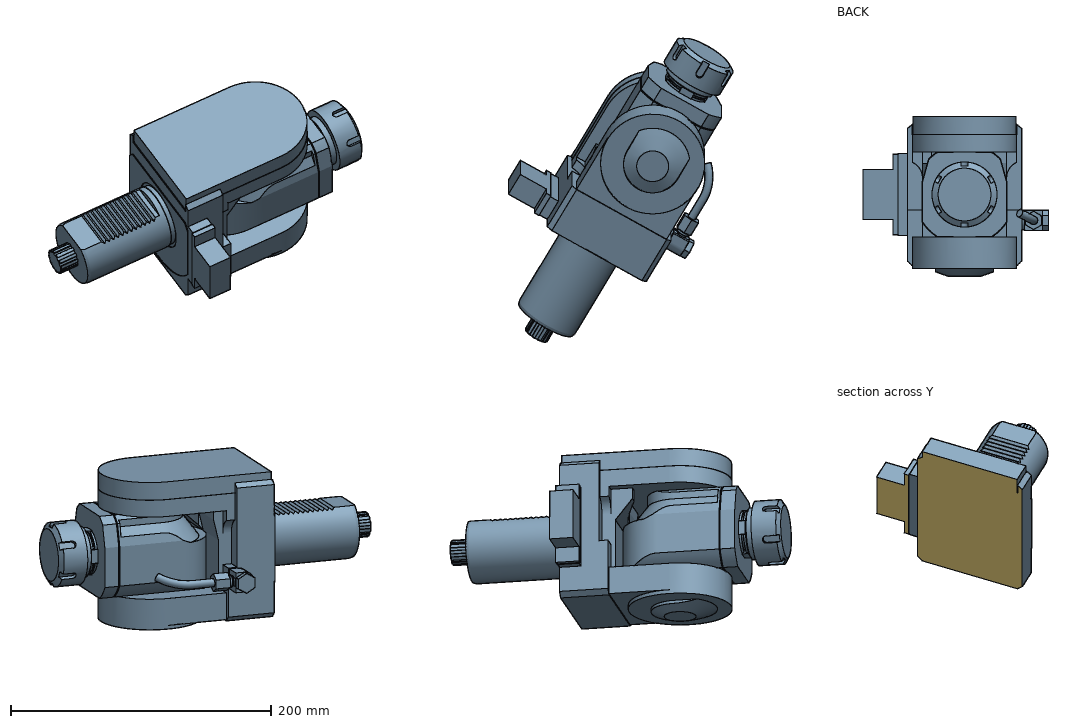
import cadquery as cq
import math


BLOCK_HALF_X = 44.0
BLOCK_TOP = 54.0
BLOCK_TOP_CHAMFER_Z = 3.2
BLOCK_BOTTOM = -55.0
BLOCK_CHAMFER = 4.0
FACE_RELIEF = 0.7
BLOCK_UPPER_BACK = 31.6
BLOCK_LOWER_BACK = 38.7
BLOCK_STEP_Z = -12.0
PAD_RADIUS = 51.0
PAD_TOP = 32.0

PIVOT_Y = 86.3
FORK_RADIUS = 40.0
GAP_HALF_Z = 32.6
COVER_BOTTOM = 46.0
COVER_TOP = 60.0
COVER_FRONT = 1.5
COVER_INSET = 0.3
LOWER_ARM_BOTTOM = -54.0
LOWER_DISC_BOTTOM = -57.0
WEB_HALF_X = 32.4
WEB_BACK = 42.2
WEB_STEP_Y = PIVOT_Y - FORK_RADIUS
WEB_FAR_Y = 55.5
SWING_CONE_TOP = 24.0
SWING_CONE_BOTTOM = 7.6
LUG_ROUND_RADIUS = 12.8
LUG_BOTTOM = 13.0

DOME_BOTTOM = -63.0
DOME_BASE_RADIUS = 28.7
DOME_TIP_RADIUS = 12.3
DOME_BULGE = 0.1
DOME_HALF_X = 22.4

HEAD_HALF_X = 32.5
HEAD_FRONT = 135.9
HEAD_CORNER_RADIUS = 38.8
HEAD_SHOULDER_Z = 27.2
HEAD_SIDE_TOP_Z = 9.9
HEAD_SEAM_Y = 123.6
HEAD_SEAM_WIDTH = 0.8
HEAD_SEAM_DEPTH = 0.3
RELIEF_RADIUS = 25.3
RELIEF_CONE_RADIUS = 37.7
RELIEF_END_Y = 121.7

NUT_RADIUS = 25.0
NUT_FRONT = 169.41
NUT_FACE_RADIUS = 20.3
NUT_CHAMFER_LENGTH = 2.9
NUT_BACK = 147.1
COLLAR_RADIUS = 20.0
COLLAR_BACK = 142.2
NECK_END = 141.0
NECK_RADIUS = 17.5
NECK_GROOVE_RADIUS = 16.2
NECK_GROOVE_WIDTH = 1.5
NECK_KEY_WIDTH = 11.0
NUT_SLOTS = 6
NUT_SLOT_WIDTH = 5.6
NUT_SLOT_END_Y = 155.5
NUT_SLOT_FLOOR_RADIUS = 22.0

SHANK_RADIUS = 25.0
SHANK_END = -77.2
SHANK_END_CHAMFER_LENGTH = 2.5
SHANK_END_CHAMFER = 0.7
SHANK_NECK_RADIUS = 24.35
SHANK_NECK_LENGTH = 3.0
FACE_GROOVE_RADIUS = 27.0
FACE_GROOVE_DEPTH = 1.0
FLAT_Z = 20.0
FLAT_START = -8.0
TEETH = 12
TOOTH_PITCH = 4.0
TOOTH_START = -11.6
TOOTH_DEPTH = 1.5

SPLINE_RADIUS = 9.8
SPLINE_END = -92.5
SPLINE_GROOVES = 12
SPLINE_GROOVE_WIDTH = 2.4
SPLINE_ROOT_RADIUS = 8.6
SPLINE_CHAMFER = 0.6

LOCATOR_PLATE_X = 51.0
LOCATOR_STEP_X = 55.0
LOCATOR_END_X = 78.1
LOCATOR_PLATE_HALF_Z = 31.6
LOCATOR_STEP_HALF_Z = 31.0
LOCATOR_HALF_Z = 19.3
LOCATOR_PLATE_Y = 17.6
LOCATOR_Y = 18.3

ELBOW_END_X = -64.6
ELBOW_BODY_END_X = -60.0
ELBOW_START_X = -46.2
ELBOW_Y = 31.5
ELBOW_Z = -19.9
ELBOW_RADIUS = 7.9
ELBOW_NECK_RADIUS = 14.5 / 2
HEX_SIDES = 6
PIPE_X = -53.1
PIPE_NECK_RADIUS = 9.8 / 2
PIPE_NECK_SMALL_RADIUS = 8.2 / 2
PIPE_NECK_STEP_Y = 40.2
PIPE_NUT_START = 42.6
PIPE_NUT_END = 54.5
PIPE_NUT_FLATS = 12.2
PIPE_RADIUS = 6.37 / 2
PIPE_BEND_START = 71.0
PIPE_BEND_RADIUS = 33.1
PIPE_BEND_ANGLE = 50.6
PIPE_BEND_TILT = 28.0


def box(x, y, z):
    """Box from (low, high) pairs along each axis."""
    size = [high - low for low, high in (x, y, z)]
    return cq.Workplane().box(*size, centered=False).translate((x[0], y[0], z[0]))


def cylinder_y(radius, start, end, x=0.0, z=0.0):
    """Cylinder along Y from start to end (start < end)."""
    solid = cq.Solid.makeCylinder(radius, end - start, cq.Vector(x, start, z), cq.Vector(0, 1, 0))
    return cq.Workplane(obj=solid)


def cylinder_x(radius, start, end, y, z):
    """Cylinder along X from start to end (start < end)."""
    solid = cq.Solid.makeCylinder(radius, end - start, cq.Vector(start, y, z), cq.Vector(1, 0, 0))
    return cq.Workplane(obj=solid)


def extrude_y(points, start, end):
    """Prism of an XZ outline from start to end along Y."""
    plane = cq.Workplane("XZ", origin=(0, start, 0))
    return plane.polyline(points).close().extrude(start - end)


def revolve_y(profile):
    """Solid of revolution about Y from (radius, y) points."""
    return cq.Workplane("XY").polyline(profile).close().revolve(360, (0, 0), (0, 1))


def revolve_pivot(profile):
    """Solid of revolution about the swivel axis from (radius, z) points."""
    plane = cq.Workplane("XZ", origin=(0, PIVOT_Y, 0))
    return plane.polyline(profile).close().revolve(360, (0, 0), (0, 1))


def rounded_arm(radius, front, bottom, top):
    """Arm with straight sides that ends in a half circle around the swivel axis."""
    return (
        cq.Workplane("XY", origin=(0, 0, bottom))
        .moveTo(-radius, front)
        .lineTo(radius, front)
        .lineTo(radius, PIVOT_Y)
        .threePointArc((0, PIVOT_Y + radius), (-radius, PIVOT_Y))
        .close()
        .extrude(top - bottom)
    )


def make_block():
    """Flange block with chamfered corners, a seat for the cover and a round pad on its face."""
    inner_x = BLOCK_HALF_X - BLOCK_CHAMFER
    top_edge = BLOCK_TOP - BLOCK_TOP_CHAMFER_Z
    bottom_edge = BLOCK_BOTTOM + BLOCK_CHAMFER
    outline = [
        (-inner_x, BLOCK_TOP), (inner_x, BLOCK_TOP), (BLOCK_HALF_X, top_edge),
        (BLOCK_HALF_X, bottom_edge), (inner_x, BLOCK_BOTTOM),
        (-inner_x, BLOCK_BOTTOM), (-BLOCK_HALF_X, bottom_edge), (-BLOCK_HALF_X, top_edge),
    ]
    block = extrude_y(outline, FACE_RELIEF, BLOCK_LOWER_BACK)
    side = (-BLOCK_HALF_X, BLOCK_HALF_X)
    block = block.cut(box(side, (BLOCK_UPPER_BACK, BLOCK_LOWER_BACK), (BLOCK_STEP_Z, BLOCK_TOP)))
    cover_seat = box((-inner_x, inner_x), (0, BLOCK_UPPER_BACK), (COVER_BOTTOM, BLOCK_TOP))
    pad = cylinder_y(PAD_RADIUS, 0, FACE_RELIEF).intersect(
        box(side, (0, FACE_RELIEF), (-PAD_RADIUS, PAD_TOP))
    )
    return block.cut(cover_seat).union(pad)


def make_fork():
    """Upper arm with its cover plate, lower arm with its round disc, and the web between them."""
    cover = rounded_arm(FORK_RADIUS - COVER_INSET, COVER_FRONT, COVER_BOTTOM, COVER_TOP)
    upper_arm = rounded_arm(FORK_RADIUS, BLOCK_UPPER_BACK, GAP_HALF_Z, COVER_BOTTOM)
    lower_arm = rounded_arm(FORK_RADIUS, BLOCK_UPPER_BACK, LOWER_ARM_BOTTOM, -GAP_HALF_Z)
    disc = (
        cq.Workplane("XY", origin=(0, PIVOT_Y, LOWER_DISC_BOTTOM))
        .circle(FORK_RADIUS)
        .extrude(-GAP_HALF_Z - LOWER_DISC_BOTTOM)
    )
    return cover.union(upper_arm).union(lower_arm).union(disc).union(make_web())


def web_step(back, start_x, end_x):
    """Thicker top of the web with a sloping underside, between two X positions."""
    return (
        cq.Workplane("YZ", origin=(start_x, 0, 0))
        .moveTo(WEB_BACK, SWING_CONE_BOTTOM)
        .lineTo(back, SWING_CONE_TOP)
        .lineTo(back, GAP_HALF_Z)
        .lineTo(WEB_BACK, GAP_HALF_Z)
        .close()
        .extrude(end_x - start_x)
    )


def make_web():
    """Wall that joins the arms, stepped towards the head and flanked by rounded lugs."""
    side = (-WEB_HALF_X, WEB_HALF_X)
    web = box(side, (BLOCK_UPPER_BACK, WEB_BACK), (-GAP_HALF_Z, GAP_HALF_Z))
    swing = cq.Workplane("XY", origin=(0, PIVOT_Y, -GAP_HALF_Z)).circle(FORK_RADIUS).extrude(2 * GAP_HALF_Z)
    far_step = web_step(WEB_FAR_Y, 0, WEB_HALF_X).cut(swing)
    web = web.union(web_step(WEB_STEP_Y, *side)).union(far_step)
    lug = make_lug()
    return web.union(lug).union(lug.mirror("YZ"))


def make_lug():
    """Lug under the upper arm that flares out from the web with a concave round."""
    lug_y = (BLOCK_UPPER_BACK, BLOCK_LOWER_BACK)
    lug = box((-FORK_RADIUS, -WEB_HALF_X), lug_y, (LUG_BOTTOM, GAP_HALF_Z))
    return lug.cut(cylinder_y(LUG_ROUND_RADIUS, *lug_y, -WEB_HALF_X - LUG_ROUND_RADIUS, LUG_BOTTOM))


def make_dome():
    """Shallow dome, trimmed to straight sides and a half circle towards the block."""
    middle = (
        (DOME_BASE_RADIUS + DOME_TIP_RADIUS) / 2,
        (LOWER_DISC_BOTTOM + DOME_BOTTOM) / 2 - DOME_BULGE,
    )
    dome = (
        cq.Workplane("XZ", origin=(0, PIVOT_Y, 0))
        .moveTo(0, LOWER_DISC_BOTTOM)
        .lineTo(DOME_BASE_RADIUS, LOWER_DISC_BOTTOM)
        .threePointArc(middle, (DOME_TIP_RADIUS, DOME_BOTTOM))
        .lineTo(0, DOME_BOTTOM)
        .close()
        .revolve(360, (0, 0), (0, 1))
    )
    trim = (
        cq.Workplane("XY", origin=(0, PIVOT_Y, DOME_BOTTOM))
        .moveTo(DOME_HALF_X, 0)
        .lineTo(DOME_HALF_X, DOME_BASE_RADIUS)
        .lineTo(-DOME_HALF_X, DOME_BASE_RADIUS)
        .lineTo(-DOME_HALF_X, 0)
        .threePointArc((0, -DOME_HALF_X), (DOME_HALF_X, 0))
        .close()
        .extrude(LOWER_DISC_BOTTOM - DOME_BOTTOM)
    )
    return dome.intersect(trim)


def head_section(start, end, inset=0.0):
    """Head cross-section along Y, with flats above the sides, moved inwards all round by inset."""
    corner_radius = HEAD_CORNER_RADIUS - inset
    half_x = HEAD_HALF_X - inset
    half_z = GAP_HALF_Z - inset
    shoulder_x = math.sqrt(corner_radius**2 - HEAD_SHOULDER_Z**2)
    outline = [
        (-half_x, -half_z), (half_x, -half_z), (half_x, HEAD_SIDE_TOP_Z),
        (shoulder_x, HEAD_SHOULDER_Z), (shoulder_x, half_z), (-shoulder_x, half_z),
        (-shoulder_x, HEAD_SHOULDER_Z), (-half_x, HEAD_SIDE_TOP_Z),
    ]
    return extrude_y(outline, start, end).intersect(cylinder_y(corner_radius, start, end))


def make_head():
    """Swivel head with a half-round back, relieved above around the swivel axis."""
    round_y = WEB_BACK + HEAD_HALF_X
    plan = (
        cq.Workplane("XY", origin=(0, 0, -GAP_HALF_Z))
        .moveTo(HEAD_HALF_X, round_y)
        .lineTo(HEAD_HALF_X, HEAD_FRONT)
        .lineTo(-HEAD_HALF_X, HEAD_FRONT)
        .lineTo(-HEAD_HALF_X, round_y)
        .threePointArc((0, WEB_BACK), (HEAD_HALF_X, round_y))
        .close()
        .extrude(2 * GAP_HALF_Z)
    )
    head = head_section(WEB_BACK, HEAD_FRONT).intersect(plan).cut(make_head_relief())
    return head.cut(make_head_seam())


def make_head_seam():
    """Hairline groove around the head, between its body and its front plate."""
    seam_end = HEAD_SEAM_Y + HEAD_SEAM_WIDTH
    return head_section(HEAD_SEAM_Y, seam_end).cut(head_section(HEAD_SEAM_Y, seam_end, HEAD_SEAM_DEPTH))


def make_head_relief():
    """Space around a cone-footed core, straight along Y beyond the swivel axis."""
    core_profile = [
        (RELIEF_RADIUS, GAP_HALF_Z), (RELIEF_RADIUS, SWING_CONE_TOP), (RELIEF_CONE_RADIUS, SWING_CONE_BOTTOM),
    ]
    core = revolve_pivot([(0, GAP_HALF_Z)] + core_profile + [(0, SWING_CONE_BOTTOM)])
    mirrored = [(-x, z) for x, z in reversed(core_profile)]
    straight_core = extrude_y(core_profile + mirrored, PIVOT_Y, RELIEF_END_Y)
    space = box((-FORK_RADIUS, FORK_RADIUS), (WEB_BACK, RELIEF_END_Y), (SWING_CONE_BOTTOM, GAP_HALF_Z))
    return space.cut(core).cut(straight_core)


def make_nose():
    """Spindle neck, collar and slotted clamping nut."""
    groove_mid = (HEAD_FRONT + NECK_END) / 2
    groove_low = groove_mid - NECK_GROOVE_WIDTH / 2
    groove_high = groove_mid + NECK_GROOVE_WIDTH / 2
    nose = revolve_y([
        (0, HEAD_FRONT), (NECK_RADIUS, HEAD_FRONT), (NECK_RADIUS, groove_low),
        (NECK_GROOVE_RADIUS, groove_low), (NECK_GROOVE_RADIUS, groove_high), (NECK_RADIUS, groove_high),
        (NECK_RADIUS, NECK_END), (COLLAR_RADIUS, COLLAR_BACK), (COLLAR_RADIUS, NUT_BACK),
        (NUT_RADIUS, NUT_BACK), (NUT_RADIUS, NUT_FRONT - NUT_CHAMFER_LENGTH),
        (NUT_FACE_RADIUS, NUT_FRONT), (0, NUT_FRONT),
    ])
    half_key = NECK_KEY_WIDTH / 2
    key_y = (HEAD_FRONT, NECK_END)
    nose = nose.union(box((-half_key, half_key), key_y, (-NECK_RADIUS, NECK_RADIUS)))
    nose = nose.union(box((-NECK_RADIUS, NECK_RADIUS), key_y, (-half_key, half_key)))
    for index in range(NUT_SLOTS):
        nose = nose.cut(make_nut_slot().rotate((0, 0, 0), (0, 1, 0), index * 360 / NUT_SLOTS))
    return nose


def make_nut_slot():
    """Spanner slot on top of the nut, open at the front and round at its inner end."""
    half_width = NUT_SLOT_WIDTH / 2
    return (
        cq.Workplane("XY", origin=(0, 0, NUT_SLOT_FLOOR_RADIUS))
        .moveTo(half_width, NUT_SLOT_END_Y + half_width)
        .lineTo(half_width, NUT_FRONT)
        .lineTo(-half_width, NUT_FRONT)
        .lineTo(-half_width, NUT_SLOT_END_Y + half_width)
        .threePointArc((0, NUT_SLOT_END_Y), (half_width, NUT_SLOT_END_Y + half_width))
        .close()
        .extrude(NUT_RADIUS - NUT_SLOT_FLOOR_RADIUS)
    )


def make_shank():
    """Clamping shank with a toothed flat on top."""
    chamfer_start = SHANK_END + SHANK_END_CHAMFER_LENGTH
    shank = revolve_y([
        (0, FACE_GROOVE_DEPTH), (SHANK_NECK_RADIUS, FACE_GROOVE_DEPTH),
        (SHANK_NECK_RADIUS, -SHANK_NECK_LENGTH),
        (SHANK_RADIUS, -SHANK_NECK_LENGTH), (SHANK_RADIUS, chamfer_start),
        (SHANK_RADIUS - SHANK_END_CHAMFER, SHANK_END), (0, SHANK_END),
    ])
    across = (-SHANK_RADIUS, SHANK_RADIUS)
    shank = shank.cut(box(across, (SHANK_END, FLAT_START), (FLAT_Z, SHANK_RADIUS)))
    for index in range(TEETH):
        tooth_y = TOOTH_START - index * TOOTH_PITCH
        groove = (
            cq.Workplane("YZ", origin=(-SHANK_RADIUS, 0, 0))
            .polyline([(tooth_y, FLAT_Z), (tooth_y - TOOTH_PITCH / 2, FLAT_Z - TOOTH_DEPTH),
                       (tooth_y - TOOTH_PITCH, FLAT_Z)])
            .close()
            .extrude(2 * SHANK_RADIUS)
        )
        shank = shank.cut(groove)
    return shank


def make_spline():
    """Splined drive stub at the end of the shank."""
    spline = cylinder_y(SPLINE_RADIUS, SPLINE_END, SHANK_END).faces("<Y").chamfer(SPLINE_CHAMFER)
    half_width = SPLINE_GROOVE_WIDTH / 2
    groove = box((-half_width, half_width), (SPLINE_END, SHANK_END), (SPLINE_ROOT_RADIUS, SPLINE_RADIUS))
    for index in range(SPLINE_GROOVES):
        spline = spline.cut(groove.rotate((0, 0, 0), (0, 1, 0), index * 360 / SPLINE_GROOVES))
    return spline


def make_locator():
    """Locating plate and finger on the +X side of the block."""
    plate = box(
        (BLOCK_HALF_X, LOCATOR_PLATE_X), (FACE_RELIEF, LOCATOR_PLATE_Y),
        (-LOCATOR_PLATE_HALF_Z, LOCATOR_PLATE_HALF_Z),
    )
    step = box((LOCATOR_PLATE_X, LOCATOR_STEP_X), (0, LOCATOR_Y), (-LOCATOR_STEP_HALF_Z, LOCATOR_STEP_HALF_Z))
    finger = box((LOCATOR_STEP_X, LOCATOR_END_X), (0, LOCATOR_Y), (-LOCATOR_HALF_Z, LOCATOR_HALF_Z))
    return plate.union(step).union(finger)


def make_elbow():
    """Coolant elbow that turns from the block side towards the pipe."""
    neck = cylinder_x(ELBOW_NECK_RADIUS, ELBOW_START_X, -BLOCK_HALF_X, ELBOW_Y, ELBOW_Z)
    body = cylinder_x(ELBOW_RADIUS, ELBOW_BODY_END_X, ELBOW_START_X, ELBOW_Y, ELBOW_Z)
    hex_end = (
        cq.Workplane("YZ", origin=(ELBOW_END_X, ELBOW_Y, ELBOW_Z))
        .transformed(rotate=(0, 0, 90))
        .polygon(HEX_SIDES, 2 * ELBOW_RADIUS)
        .extrude(ELBOW_BODY_END_X - ELBOW_END_X)
    )
    outlet = box(
        (ELBOW_BODY_END_X, ELBOW_START_X), (ELBOW_Y, BLOCK_LOWER_BACK),
        (ELBOW_Z - ELBOW_RADIUS, ELBOW_Z + ELBOW_RADIUS),
    )
    return neck.union(body).union(hex_end).union(outlet)


def make_pipe():
    """Coolant pipe with its neck and nut, curving up and over towards the head."""
    neck = cylinder_y(PIPE_NECK_SMALL_RADIUS, BLOCK_LOWER_BACK, PIPE_NECK_STEP_Y, PIPE_X, ELBOW_Z)
    neck = neck.union(cylinder_y(PIPE_NECK_RADIUS, PIPE_NECK_STEP_Y, PIPE_NUT_START, PIPE_X, ELBOW_Z))
    nut = (
        cq.Workplane("XZ", origin=(PIPE_X, PIPE_NUT_START, ELBOW_Z))
        .transformed(rotate=(0, 0, 90))
        .polygon(HEX_SIDES, PIPE_NUT_FLATS / math.cos(math.pi / 6))
        .extrude(PIPE_NUT_START - PIPE_NUT_END)
    )
    straight = cylinder_y(PIPE_RADIUS, PIPE_NUT_END, PIPE_BEND_START, PIPE_X, ELBOW_Z)
    bend = (
        cq.Workplane("XZ")
        .circle(PIPE_RADIUS)
        .revolve(PIPE_BEND_ANGLE, (PIPE_BEND_RADIUS, 1), (PIPE_BEND_RADIUS, 0))
        .rotate((0, 0, 0), (0, 1, 0), -PIPE_BEND_TILT)
        .translate((PIPE_X, PIPE_BEND_START, ELBOW_Z))
    )
    return neck.union(nut).union(straight).union(bend)


body = make_block().union(make_fork()).cut(cylinder_y(FACE_GROOVE_RADIUS, 0, FACE_GROOVE_DEPTH))
for feature in (
    make_dome(), make_head(), make_nose(), make_shank(), make_spline(),
    make_locator(), make_elbow(), make_pipe(),
):
    body = body.union(feature)
result = body